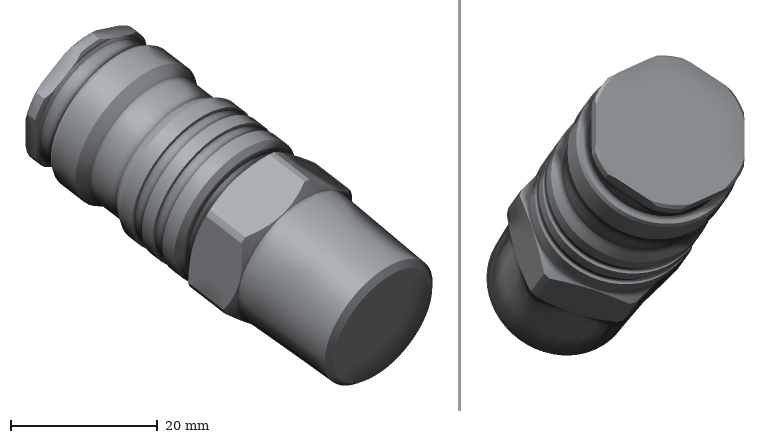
import cadquery as cq
import math


TOTAL_LENGTH = 59.1

FRONT_HEX_FLATS = 21.0
FRONT_HEX_CORNER_DIA = 22.45
FRONT_HEX_FACE_DIA = 21.6
FRONT_HEX_LENGTH = 2.25
FRONT_HEX_CHAMFER = 0.35
COLLAR_DIA = 20.3
COLLAR_CONE_LENGTH = 0.5

SLEEVE_START = 5.8
SLEEVE_END = 31.1
SLEEVE_DIA = 23.15
SLEEVE_FRONT_DIA = 22.6
SLEEVE_FRONT_CHAMFER = 0.55
SLEEVE_REAR_DIA = 21.75
SLEEVE_REAR_CHAMFER = 0.9
WAIST_DIA = 21.0
WAIST_START = 12.7
WAIST_END = 17.7
WAIST_CONE_LENGTH = 1.85
GROOVE_DIA = 22.0
GROOVE_WIDTH = 1.95
GROOVE_STARTS = (21.9, 25.95)

SHANK_DIA = 19.6

REAR_HEX_START = 32.1
REAR_HEX_END = 41.95
REAR_HEX_FLATS = 22.0
REAR_HEX_CORNER_DIA = 24.8
REAR_HEX_TURN = 12.7
REAR_HEX_FRONT_CHAMFER = 1.5
REAR_HEX_REAR_CHAMFER = 1.5

TAIL_START_DIA = 21.75
TAIL_END_DIA = 20.55
TAIL_FACE_DIA = 18.75
TAIL_CHAMFER = 0.8


def turned(profile):
    """Solid of revolution about X from (x, diameter) points, front to rear."""
    outline = [(x, diameter / 2) for x, diameter in profile]
    first_x = profile[0][0]
    last_x = profile[-1][0]
    points = [(first_x, 0), *outline, (last_x, 0)]
    return cq.Workplane("XY").polyline(points).close().revolve(360, (0, 0, 0), (1, 0, 0))


def hex_bar(start, end, across_flats, corner_angle):
    """Hexagonal bar along X with one corner at corner_angle degrees from +Y."""
    corner_to_corner = across_flats / math.cos(math.radians(30))
    bar = cq.Workplane("YZ").polygon(6, corner_to_corner).extrude(end - start)
    return bar.rotate((0, 0, 0), (1, 0, 0), corner_angle).translate((start, 0, 0))


def make_front_hex():
    blank = turned([
        (0, FRONT_HEX_FACE_DIA),
        (FRONT_HEX_CHAMFER, FRONT_HEX_CORNER_DIA),
        (FRONT_HEX_LENGTH - FRONT_HEX_CHAMFER, FRONT_HEX_CORNER_DIA),
        (FRONT_HEX_LENGTH, FRONT_HEX_FACE_DIA),
    ])
    bar = hex_bar(0, FRONT_HEX_LENGTH, FRONT_HEX_FLATS, 90)
    return blank.intersect(bar)


def make_rear_hex():
    blank = turned([
        (REAR_HEX_START, SHANK_DIA),
        (REAR_HEX_START + REAR_HEX_FRONT_CHAMFER, REAR_HEX_CORNER_DIA),
        (REAR_HEX_END - REAR_HEX_REAR_CHAMFER, REAR_HEX_CORNER_DIA),
        (REAR_HEX_END, TAIL_START_DIA),
    ])
    return blank.intersect(hex_bar(REAR_HEX_START, REAR_HEX_END, REAR_HEX_FLATS, REAR_HEX_TURN))


def make_core():
    shank = turned([
        (FRONT_HEX_LENGTH, FRONT_HEX_FLATS),
        (FRONT_HEX_LENGTH + COLLAR_CONE_LENGTH, COLLAR_DIA),
        (SLEEVE_START, COLLAR_DIA),
        (SLEEVE_START, SHANK_DIA),
        (REAR_HEX_START, SHANK_DIA),
    ])
    tail = turned([
        (REAR_HEX_END, TAIL_START_DIA),
        (TOTAL_LENGTH - TAIL_CHAMFER, TAIL_END_DIA),
        (TOTAL_LENGTH, TAIL_FACE_DIA),
    ])
    return make_front_hex().union(shank).union(make_rear_hex()).union(tail)


def make_sleeve():
    sleeve = turned([
        (SLEEVE_START, SLEEVE_FRONT_DIA),
        (SLEEVE_START + SLEEVE_FRONT_CHAMFER, SLEEVE_DIA),
        (WAIST_START - WAIST_CONE_LENGTH, SLEEVE_DIA),
        (WAIST_START, WAIST_DIA),
        (WAIST_END, WAIST_DIA),
        (WAIST_END + WAIST_CONE_LENGTH, SLEEVE_DIA),
        (SLEEVE_END - SLEEVE_REAR_CHAMFER, SLEEVE_DIA),
        (SLEEVE_END, SLEEVE_REAR_DIA),
    ])
    for groove_start in GROOVE_STARTS:
        groove_end = groove_start + GROOVE_WIDTH
        groove = turned([(groove_start, SLEEVE_DIA), (groove_end, SLEEVE_DIA)])
        groove_floor = turned([(groove_start, GROOVE_DIA), (groove_end, GROOVE_DIA)])
        sleeve = sleeve.cut(groove.cut(groove_floor))
    bore = turned([(SLEEVE_START, SHANK_DIA), (SLEEVE_END, SHANK_DIA)])
    return sleeve.cut(bore)


core = make_core()
sleeve = make_sleeve()

result = cq.Compound.makeCompound([core.val(), sleeve.val()])